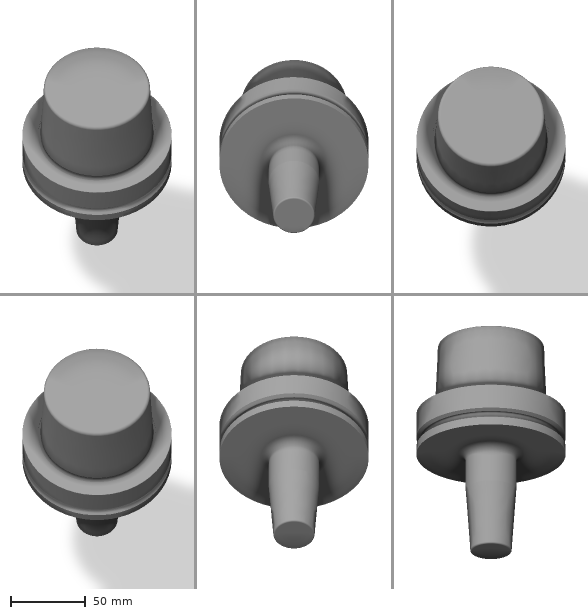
import cadquery as cq


top_height = 49.9
total_length = 149.9
bottom_height = top_height - total_length

flange_radius = 49.99
flange_thickness = 29.1
flange_edge_chamfer = 0.1
groove_floor_radius = 46.0
groove_upper_edge = -16.8
groove_lower_edge = -23.5
groove_bevel = 1.5
bevel_inner_radius = 47.7
groove_fillet = 0.7

head_base_radius = 37.8
head_rim_radius = 35.5
head_rim_fillet = 2.0
relief_radius = 37.5
relief_top = 2.5
relief_chamfer = 0.9
foot_fillet = 1.27
face_recess_radius = 39.4
face_recess_depth = 0.5

stem_radius = 17.0
stem_root_fillet = 5.1
taper_start = -55.5
stem_tip_radius = 13.8
stem_tip_fillet = 1.0


def round_end_rim(body, face, fillet):
    """Round the rim of the body's highest or lowest flat face."""
    return body.faces(face).edges().fillet(fillet)


def make_flange():
    bottom = -flange_thickness
    groove = (
        cq.Workplane("XZ")
        .moveTo(flange_radius, groove_upper_edge)
        .lineTo(bevel_inner_radius, groove_upper_edge - groove_bevel)
        .lineTo(groove_floor_radius, groove_upper_edge - groove_bevel)
        .lineTo(groove_floor_radius, groove_lower_edge + groove_bevel)
        .lineTo(bevel_inner_radius, groove_lower_edge + groove_bevel)
        .lineTo(flange_radius, groove_lower_edge)
        .close()
        .revolve(360, (0, 0, 0), (0, 1, 0))
    )
    groove = groove.edges(cq.selectors.RadiusNthSelector(0)).fillet(groove_fillet)
    disc = cq.Workplane("XY").workplane(offset=bottom).circle(flange_radius).extrude(flange_thickness)
    disc = disc.faces(">Z").edges().chamfer(flange_edge_chamfer)
    recess = cq.Workplane("XY").circle(face_recess_radius).extrude(-face_recess_depth)
    return disc.cut(groove).cut(recess)


def make_head():
    head = (
        cq.Workplane("XZ")
        .moveTo(0, -face_recess_depth)
        .lineTo(relief_radius + foot_fillet, -face_recess_depth)
        .radiusArc((relief_radius, foot_fillet - face_recess_depth), foot_fillet)
        .lineTo(relief_radius, relief_top - relief_chamfer)
        .lineTo(head_base_radius, relief_top)
        .lineTo(head_rim_radius, top_height)
        .lineTo(0, top_height)
        .close()
        .revolve(360, (0, 0, 0), (0, 1, 0))
    )
    return round_end_rim(head, ">Z", head_rim_fillet)


def make_stem():
    root = -flange_thickness
    stem = (
        cq.Workplane("XZ")
        .moveTo(0, root)
        .lineTo(stem_radius + stem_root_fillet, root)
        .radiusArc((stem_radius, root - stem_root_fillet), -stem_root_fillet)
        .lineTo(stem_radius, taper_start)
        .lineTo(stem_tip_radius, bottom_height)
        .lineTo(0, bottom_height)
        .close()
        .revolve(360, (0, 0, 0), (0, 1, 0))
    )
    return round_end_rim(stem, "<Z", stem_tip_fillet)


result = make_flange().union(make_head()).union(make_stem())